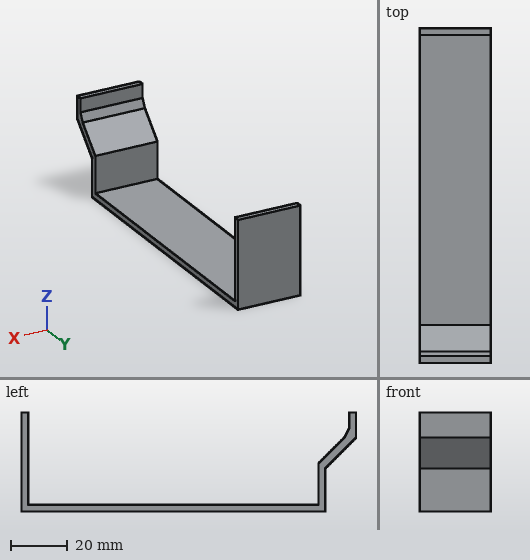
import cadquery as cq

width = 25.0
length = 118.0
height = 34.9

thickness = 2.5
lip_overhang = 10.9
outer_bend_height = 15.2
inner_bend_height = 17.0

bevel_run = 1.7
bevel_rise = 3.3

back_inner = length - thickness
wall_outer = lip_overhang
wall_inner = wall_outer + thickness
lip_inner = thickness
bevel_start = lip_inner + bevel_run

lip_bottom = outer_bend_height + lip_overhang
bevel_bottom = inner_bend_height + wall_inner - bevel_start

profile = [
    (length, 0),
    (length, height),
    (back_inner, height),
    (back_inner, thickness),
    (wall_inner, thickness),
    (wall_inner, inner_bend_height),
    (bevel_start, bevel_bottom),
    (lip_inner, bevel_bottom + bevel_rise),
    (lip_inner, height),
    (0, height),
    (0, lip_bottom),
    (wall_outer, outer_bend_height),
    (wall_outer, 0),
]

result = cq.Workplane("YZ").polyline(profile).close().extrude(width)